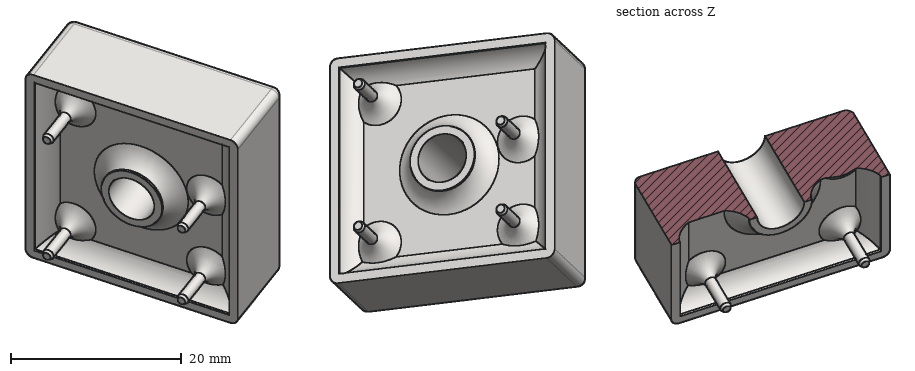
import cadquery as cq
import math

side = 28.0
body_depth = 11.5
edge_radius = 1.0
wall = 1.15
floor_depth = 2.5

blend_size = 2.18
blend_sagitta = 0.35
blend_top = floor_depth - blend_size
blend_hollow = blend_sagitta * math.sqrt(0.5)

boss_radius = 4.0
hole_radius = 3.0

pin_radius = 0.7
pin_protrusion = 4.48
pin_tip_chamfer_width = 0.2
pin_tip_chamfer_length = 0.4
pin_offset = 8.88
raised_pin_z = 2.1
pin_centres = [
    (-pin_offset, -pin_offset),
    (-pin_offset, pin_offset),
    (pin_offset, -pin_offset),
    (pin_offset, raised_pin_z),
]


def make_trough(width):
    """Bar along Z, as wide as the opening, with a blend along both floor edges."""
    half_width = width / 2
    half_floor = half_width - blend_size
    blend_middle_x = half_width - blend_size / 2 + blend_hollow
    blend_middle_y = blend_top + blend_size / 2 + blend_hollow
    return (
        cq.Workplane("XY")
        .moveTo(-half_width, 0)
        .lineTo(half_width, 0)
        .lineTo(half_width, blend_top)
        .threePointArc((blend_middle_x, blend_middle_y), (half_floor, floor_depth))
        .lineTo(-half_floor, floor_depth)
        .threePointArc((-blend_middle_x, blend_middle_y), (-half_width, blend_top))
        .close()
        .extrude(half_width, both=True)
    )


def make_housing():
    """Rounded block with a shallow square recess blended into its floor."""
    block = (
        cq.Workplane("XY")
        .box(side, body_depth, side, centered=(True, False, True))
        .edges("|Y or >Y")
        .fillet(edge_radius)
    )
    opening = side - 2 * wall
    trough = make_trough(opening)
    recess = trough.intersect(trough.rotate((0, 0, 0), (0, 1, 0), 90))
    return block.cut(recess)


def start_flared_profile(radius):
    """Half profile from the axis along the floor and up the concave blend to the given radius."""
    base_radius = radius + blend_size
    return (
        cq.Workplane("XY")
        .moveTo(0, floor_depth + wall)
        .lineTo(base_radius, floor_depth + wall)
        .lineTo(base_radius, floor_depth)
        .threePointArc(
            (radius + blend_size / 2 - blend_hollow, blend_top + blend_size / 2 + blend_hollow),
            (radius, blend_top),
        )
    )


def revolve_about_y(profile):
    return profile.close().revolve(360, (0, 0, 0), (0, 1, 0))


def make_boss():
    profile = (
        start_flared_profile(boss_radius)
        .lineTo(boss_radius, 0)
        .lineTo(0, 0)
    )
    return revolve_about_y(profile)


def make_pin():
    profile = (
        start_flared_profile(pin_radius)
        .lineTo(pin_radius, pin_tip_chamfer_length - pin_protrusion)
        .lineTo(pin_radius - pin_tip_chamfer_width, -pin_protrusion)
        .lineTo(0, -pin_protrusion)
    )
    return revolve_about_y(profile)


def make_through_hole():
    return cq.Workplane("XZ").circle(hole_radius).extrude(-body_depth)


result = make_housing().union(make_boss())
for pin_x, pin_z in pin_centres:
    result = result.union(make_pin().translate((pin_x, 0, pin_z)))
result = result.cut(make_through_hole())